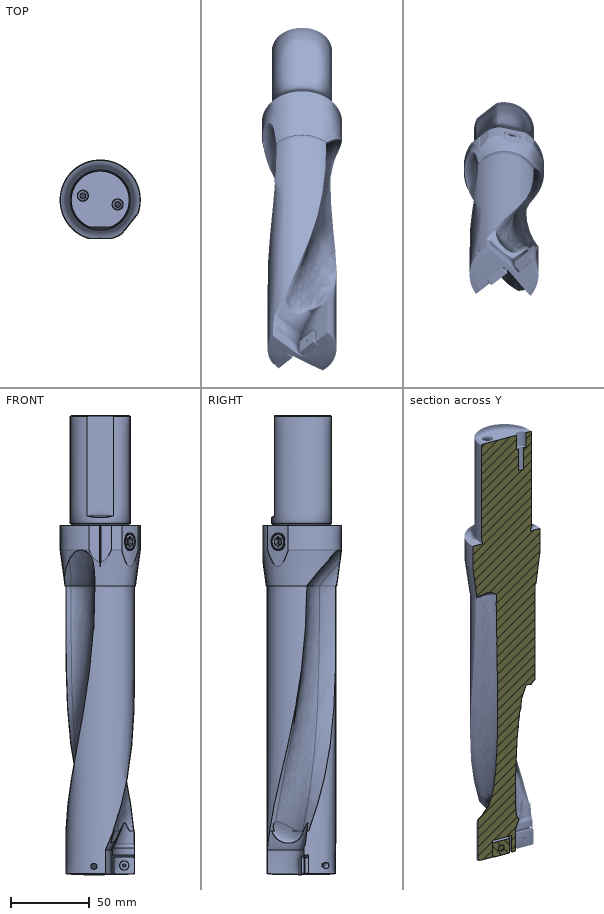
import cadquery as cq
import math

TOTAL_LENGTH = 290.99
SHANK_LENGTH = 69.5
COLLAR_HEIGHT = 15.8
CONE_HEIGHT = 22.6
COLLAR_TOP = TOTAL_LENGTH - SHANK_LENGTH
CONE_TOP = COLLAR_TOP - COLLAR_HEIGHT
CONE_BOTTOM = CONE_TOP - CONE_HEIGHT

SHANK_RADIUS = 19.05
SHANK_CHAMFER = 0.7
NECK_RADIUS = 18.3
NECK_HEIGHT = 1.2
COLLAR_RADIUS = 25.4
CONE_END_RADIUS = 22.3
DRILL_RADIUS = 21.8
TIP_FACE_RADIUS = 18.0
TIP_FACE_Z = 0.5
TIP_EDGE_Z = 0.9

SHANK_FLAT_DISTANCE = 17.1
SHANK_FLAT_BOTTOM = COLLAR_TOP + 6.0
SHANK_FLAT_END_RISE = 1.2
FRONT_FLAT_DISTANCE = 24.4
GROOVE_WIDTH = 0.8
GROOVE_DEPTH = 0.4
PLUG_FLAT_DISTANCE = 24.0
PLUG_FLAT_ANGLE = -38.4
PORT_PLACES = [(-11.0, 2.75), (11.0, -2.75)]
PORT_DIAMETER = 7.0
PORT_DEPTH = 10.0
PORT_BORE_DIAMETER = 3.6
PORT_BORE_DEPTH = 25.0

PLUG_DIAMETER = 11.0
PLUG_LENGTH = 8.0
PLUG_Z = COLLAR_TOP - 10.4
PLUG_CHAMFER = 0.8
PLUG_HEX_DIAMETER = 6.4
PLUG_HEX_DEPTH = 4.0

FLUTE_WALL = -0.4
FLUTE_FACE = -3.4
FLUTE_FLOOR_RADIUS = 11.25
FLUTE_FLOOR_Y = -11.0
FLUTE_REACH = 32.0
FLUTE_START = 28.0
FLUTE_SECTIONS = 9
TWIST_RATE = 0.0032
RUNOUT_MIDDLE = cq.Vector(-0.5, -9.5, CONE_HEIGHT / 2)
RUNOUT_END = cq.Vector(-3.0, -21.0, CONE_HEIGHT)
SIDE_FLUTE_ANGLE = 188.0

GASH_FACE = 1.5
TIP_CLEARANCE = 1.0
SIDE_GASH_TOP = 33.0
SIDE_WALL_X = 7.3
SIDE_WALL_BEND_Z = 16.0
SIDE_WALL_TOP_X = 14.0
SIDE_WALL_SLANT = -10.7
SEAT_STEP_BOTTOM = 17.2
SEAT_STEP_TOP = 19.8
SEAT_STEP_FACE = 2.5
SIDE_FACE_TOP_Y = 4.0
CENTRAL_GASH_TOP = 31.0
CENTRAL_WALL_X = -4.2
CENTRAL_WALL_BEND_Z = 11.0
CENTRAL_LEDGE_X = -2.2
CENTRAL_LEDGE_Z = 20.0
CENTRAL_WALL_TOP_X = 7.5

INSERT_WIDTH = 13.0
INSERT_HEIGHT = 11.0
INSERT_THICKNESS = 4.5
INSERT_RELIEF_ANGLE = 7.0
INSERT_CORNER_RADIUS = 0.8
POCKET_GAP = 1.1
SIDE_INSERT_X = 15.2
CENTRAL_INSERT_X = 4.0
SIDE_INSERT_RISE = 0.6
CENTRAL_INSERT_Z = INSERT_HEIGHT / 2
SIDE_INSERT_Z = CENTRAL_INSERT_Z + SIDE_INSERT_RISE
SCREW_HEAD_DIAMETER = 5.8
SCREW_DIAMETER = 3.8
SCREW_HEAD_HEIGHT = 2.0
SCREW_LENGTH = 13.0
SCREW_SOCKET_DIAMETER = 2.0
SCREW_SOCKET_DEPTH = 1.5


def half_turn(shape):
    return shape.rotate((0, 0, 0), (0, 0, 1), 180)


def turned_blank():
    profile = (
        cq.Workplane("XZ")
        .moveTo(0, TIP_FACE_Z)
        .lineTo(TIP_FACE_RADIUS, TIP_FACE_Z)
        .lineTo(DRILL_RADIUS, TIP_EDGE_Z)
        .lineTo(DRILL_RADIUS, CONE_BOTTOM)
        .lineTo(CONE_END_RADIUS, CONE_BOTTOM)
        .lineTo(COLLAR_RADIUS, CONE_TOP)
        .lineTo(COLLAR_RADIUS, COLLAR_TOP)
        .lineTo(NECK_RADIUS, COLLAR_TOP)
        .lineTo(NECK_RADIUS, COLLAR_TOP + NECK_HEIGHT)
        .lineTo(SHANK_RADIUS, COLLAR_TOP + NECK_HEIGHT)
        .lineTo(SHANK_RADIUS, TOTAL_LENGTH - SHANK_CHAMFER)
        .lineTo(SHANK_RADIUS - SHANK_CHAMFER, TOTAL_LENGTH)
        .lineTo(0, TOTAL_LENGTH)
        .close()
    )
    return profile.revolve(360, (0, 0, 0), (0, 1, 0))


def shank_flat():
    """Clamping flat on the -Y side of the shank, with a sloped lower end."""
    depth = SHANK_RADIUS - SHANK_FLAT_DISTANCE
    return (
        cq.Workplane("YZ")
        .moveTo(-SHANK_FLAT_DISTANCE, TOTAL_LENGTH)
        .lineTo(-SHANK_FLAT_DISTANCE, SHANK_FLAT_BOTTOM)
        .lineTo(-SHANK_FLAT_DISTANCE - depth, SHANK_FLAT_BOTTOM - SHANK_FLAT_END_RISE)
        .lineTo(-SHANK_FLAT_DISTANCE - depth, TOTAL_LENGTH)
        .close()
        .extrude(SHANK_RADIUS, both=True)
    )


def collar_flat(distance, angle):
    """Block that leaves a vertical flat on the collar, facing the given angle from +X."""
    block = cq.Workplane("XY").box(
        COLLAR_RADIUS,
        2 * COLLAR_RADIUS,
        COLLAR_HEIGHT + CONE_HEIGHT,
        centered=(False, True, False),
    )
    return block.translate((distance, 0, CONE_BOTTOM)).rotate((0, 0, 0), (0, 0, 1), angle)


def index_groove():
    """V-shaped alignment mark down the middle of the front collar flat."""
    return (
        cq.Workplane("XY", origin=(0, -FRONT_FLAT_DISTANCE, CONE_BOTTOM))
        .polyline([(-GROOVE_WIDTH / 2, 0), (0, GROOVE_DEPTH), (GROOVE_WIDTH / 2, 0)])
        .close()
        .extrude(COLLAR_TOP - CONE_BOTTOM)
    )


def coolant_ports():
    top = cq.Workplane("XY", origin=(0, 0, TOTAL_LENGTH)).pushPoints(PORT_PLACES)
    mouths = top.circle(PORT_DIAMETER / 2).extrude(-PORT_DEPTH)
    bores = top.circle(PORT_BORE_DIAMETER / 2).extrude(-PORT_BORE_DEPTH)
    return mouths.union(bores)


FLOOR_CENTRE_X = FLUTE_FACE - FLUTE_FLOOR_RADIUS
FLOOR_RISE = FLUTE_WALL - FLUTE_FLOOR_Y
FLOOR_START_X = FLOOR_CENTRE_X - math.sqrt(FLUTE_FLOOR_RADIUS**2 - FLOOR_RISE**2)


def flute_section():
    """Flute outline at Z = 0: a wall flat, a round floor and a face flat."""
    diagonal = FLUTE_FLOOR_RADIUS / math.sqrt(2)
    return (
        cq.Workplane("XY")
        .moveTo(-FLUTE_REACH, FLUTE_WALL)
        .lineTo(FLOOR_START_X, FLUTE_WALL)
        .threePointArc(
            (FLOOR_CENTRE_X + diagonal, FLUTE_FLOOR_Y + diagonal), (FLUTE_FACE, FLUTE_FLOOR_Y)
        )
        .lineTo(FLUTE_FACE, -FLUTE_REACH)
        .lineTo(-FLUTE_REACH, -FLUTE_REACH)
        .close()
        .val()
    )


def flute_twist(z):
    return -TWIST_RATE * (CONE_BOTTOM - z) ** 2


def flute():
    """Helical flute with a ball-shaped start and a sloping run-out through the cone."""
    section = flute_section()
    step = (CONE_BOTTOM - FLUTE_START) / (FLUTE_SECTIONS - 1)
    wires = []
    for i in range(FLUTE_SECTIONS):
        z = FLUTE_START + i * step
        turned = section.rotate(cq.Vector(0, 0, 0), cq.Vector(0, 0, 1), flute_twist(z))
        wires.append(turned.translate(cq.Vector(0, 0, z)))
    helix = cq.Workplane(cq.Solid.makeLoft(wires))

    end = wires[-1]
    runout_wires = [end, end.translate(RUNOUT_MIDDLE), end.translate(RUNOUT_END)]
    runout = cq.Workplane(cq.Solid.makeLoft(runout_wires))

    ball = (
        cq.Workplane("XY")
        .sphere(FLUTE_FLOOR_RADIUS)
        .translate((FLOOR_CENTRE_X, FLUTE_FLOOR_Y, FLUTE_START))
        .rotate((0, 0, 0), (0, 0, 1), flute_twist(FLUTE_START))
    )
    return [helix, runout, ball]


SIDE_WALL = [
    (SIDE_WALL_X, -TIP_CLEARANCE),
    (SIDE_WALL_X, SIDE_WALL_BEND_Z),
    (SIDE_WALL_TOP_X, SIDE_GASH_TOP),
]
SIDE_FACE = [
    (GASH_FACE, -TIP_CLEARANCE),
    (GASH_FACE, SEAT_STEP_BOTTOM),
    (SEAT_STEP_FACE, SEAT_STEP_TOP),
    (SIDE_FACE_TOP_Y, SIDE_GASH_TOP),
]
CENTRAL_WALL = [
    (CENTRAL_WALL_X, -TIP_CLEARANCE),
    (CENTRAL_WALL_X, CENTRAL_WALL_BEND_Z),
    (CENTRAL_LEDGE_X, CENTRAL_LEDGE_Z),
    (CENTRAL_WALL_TOP_X, CENTRAL_GASH_TOP),
]
CENTRAL_FACE = [(GASH_FACE, -TIP_CLEARANCE), (GASH_FACE, CENTRAL_GASH_TOP)]


def gash(wall, face, wall_slant):
    """Space in front of an insert that faces -Y, bounded by a wall on -X and a face on +Y."""
    beside_wall = (
        cq.Workplane("XZ")
        .polyline(wall + [(FLUTE_REACH, wall[-1][1]), (FLUTE_REACH, wall[0][1])])
        .close()
        .extrude(FLUTE_REACH, both=True)
        .rotate((0, 0, 0), (0, 0, 1), wall_slant)
    )
    before_face = (
        cq.Workplane("YZ")
        .polyline(face + [(-FLUTE_REACH, face[-1][1]), (-FLUTE_REACH, face[0][1])])
        .close()
        .extrude(FLUTE_REACH, both=True)
    )
    return beside_wall.intersect(before_face)


def insert_pocket(x, z):
    """Pocket with a gap above the insert and on its inner side."""
    return cq.Workplane("XY").box(
        INSERT_WIDTH + POCKET_GAP,
        INSERT_THICKNESS,
        z + INSERT_HEIGHT / 2 + POCKET_GAP,
        centered=False,
    ).translate((x - INSERT_WIDTH / 2 - POCKET_GAP, 0, 0))


def screw_blank(x, z):
    """Countersunk screw without its socket, also used to cut the holes it sits in."""
    head_radius = SCREW_HEAD_DIAMETER / 2
    shank_radius = SCREW_DIAMETER / 2
    profile = (
        cq.Workplane("XY")
        .polyline(
            [
                (0, 0),
                (head_radius, 0),
                (shank_radius, SCREW_HEAD_HEIGHT),
                (shank_radius, SCREW_LENGTH),
                (0, SCREW_LENGTH),
            ]
        )
        .close()
    )
    return profile.revolve(360, (0, 0, 0), (0, 1, 0)).translate((x, 0, z))


def insert_screw(x, z):
    socket = (
        cq.Workplane("XZ", origin=(x, 0, z))
        .circle(SCREW_SOCKET_DIAMETER / 2)
        .extrude(-SCREW_SOCKET_DEPTH)
    )
    return screw_blank(x, z).cut(socket)


def screw_hole(x, z):
    """Screw hole running out through the back of the drill."""
    return (
        cq.Workplane("XZ", origin=(x, 0, z))
        .circle(SCREW_DIAMETER / 2)
        .extrude(-COLLAR_RADIUS)
    )


def insert(x, z):
    """Square insert whose sides lean in towards its back."""
    blank = (
        cq.Workplane("XZ", origin=(x, 0, z))
        .sketch()
        .rect(INSERT_WIDTH, INSERT_HEIGHT)
        .vertices()
        .fillet(INSERT_CORNER_RADIUS)
        .finalize()
        .extrude(-INSERT_THICKNESS, taper=INSERT_RELIEF_ANGLE)
    )
    return blank.cut(screw_blank(x, z))


def plug_plane():
    angle = math.radians(PLUG_FLAT_ANGLE)
    outward = cq.Vector(math.cos(angle), math.sin(angle), 0)
    origin = outward * PLUG_FLAT_DISTANCE + cq.Vector(0, 0, PLUG_Z)
    return cq.Plane(origin=origin, xDir=(0, 0, 1), normal=outward)


def plug_blank():
    return cq.Workplane(plug_plane()).circle(PLUG_DIAMETER / 2).extrude(-PLUG_LENGTH)


def plug_screw():
    socket = cq.Workplane(plug_plane()).polygon(6, PLUG_HEX_DIAMETER).extrude(-PLUG_HEX_DEPTH)
    return plug_blank().faces(">X").edges().chamfer(PLUG_CHAMFER).cut(socket)


def drill_body():
    body = turned_blank().cut(shank_flat()).cut(coolant_ports())
    body = body.cut(collar_flat(FRONT_FLAT_DISTANCE, -90)).cut(index_groove())
    body = body.cut(collar_flat(PLUG_FLAT_DISTANCE, PLUG_FLAT_ANGLE)).cut(plug_blank())
    for cutter in flute():
        body = body.cut(cutter)
        body = body.cut(cutter.rotate((0, 0, 0), (0, 0, 1), SIDE_FLUTE_ANGLE))
    body = body.cut(gash(SIDE_WALL, SIDE_FACE, SIDE_WALL_SLANT))
    body = body.cut(half_turn(gash(CENTRAL_WALL, CENTRAL_FACE, 0)))
    body = body.cut(insert_pocket(SIDE_INSERT_X, SIDE_INSERT_Z))
    body = body.cut(screw_hole(SIDE_INSERT_X, SIDE_INSERT_Z))
    body = body.cut(half_turn(insert_pocket(CENTRAL_INSERT_X, CENTRAL_INSERT_Z)))
    return body.cut(half_turn(screw_hole(CENTRAL_INSERT_X, CENTRAL_INSERT_Z)))


body = drill_body()
side_insert = insert(SIDE_INSERT_X, SIDE_INSERT_Z)
side_screw = insert_screw(SIDE_INSERT_X, SIDE_INSERT_Z)
central_insert = half_turn(insert(CENTRAL_INSERT_X, CENTRAL_INSERT_Z))
central_screw = half_turn(insert_screw(CENTRAL_INSERT_X, CENTRAL_INSERT_Z))
plug = plug_screw()

result = cq.Compound.makeCompound(
    [
        body.val(),
        side_insert.val(),
        side_screw.val(),
        central_insert.val(),
        central_screw.val(),
        plug.val(),
    ]
)